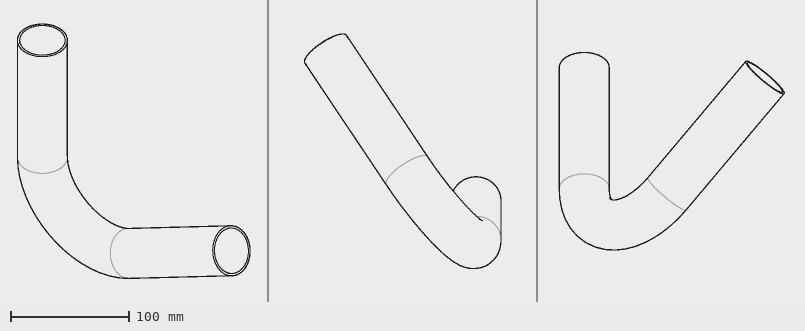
import cadquery as cq
import math

overall_length = 239.8
outer_diameter = 42.5
inner_diameter = 38.4
bend_radius = 63.5
bend_angle = 120.0

outer_radius = outer_diameter / 2
leg_tilt = math.radians(bend_angle - 90)

bend_end_x = bend_radius * (1 + math.sin(leg_tilt))
bend_end_z = -bend_radius * math.cos(leg_tilt)
end_rim_reach = outer_radius * math.sin(leg_tilt)
leg_length = (overall_length - outer_radius - bend_end_x - end_rim_reach) / math.cos(leg_tilt)


def tube_centreline():
    """Vertical leg, round bend and sloping leg; the bend starts at the origin."""
    half_bend = math.radians(bend_angle / 2)
    bend_middle = (
        bend_radius * (1 - math.cos(half_bend)),
        -bend_radius * math.sin(half_bend),
    )
    sloping_end = (
        bend_end_x + leg_length * math.cos(leg_tilt),
        bend_end_z + leg_length * math.sin(leg_tilt),
    )
    return (
        cq.Workplane("XZ")
        .moveTo(0, leg_length)
        .lineTo(0, 0)
        .threePointArc(bend_middle, (bend_end_x, bend_end_z))
        .lineTo(*sloping_end)
    )


def bent_tube():
    """Ring section swept along the centreline, open at both ends."""
    return (
        cq.Workplane("XY", origin=(0, 0, leg_length))
        .circle(outer_radius)
        .circle(inner_diameter / 2)
        .sweep(tube_centreline())
    )


result = bent_tube()